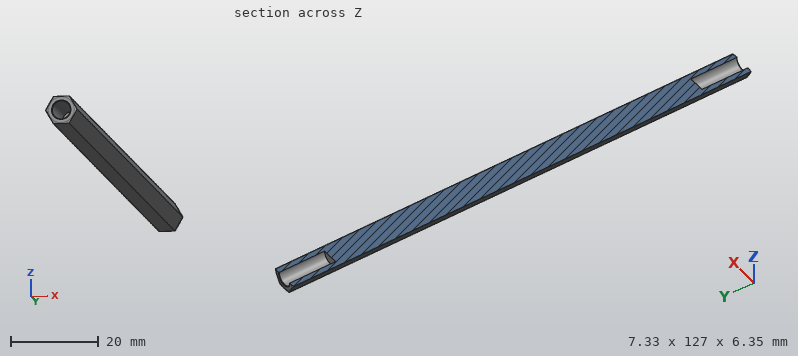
import cadquery as cq
import math

length = 127.0
across_flats = 6.35
across_corners = across_flats / math.cos(math.pi / 6)

end_face_diameter = 6.05
end_cone_angle = 10.0

hole_diameter = 4.2
mouth_diameter = 4.5
mouth_depth = (mouth_diameter - hole_diameter) / 2
hole_depth = 12.7


def revolve_about_y(profile):
    """Full revolution about Y of a closed (radius, y) outline."""
    outline = cq.Workplane("XY").polyline(profile).close()
    return outline.revolve(360, (0, 0, 0), (0, 1, 0))


def hexagonal_bar():
    """Hexagonal bar with flats on top and bottom and corners along X."""
    return cq.Workplane("XZ").polygon(6, across_corners).extrude(length / 2, both=True)


def turned_envelope():
    """Round body with a conical end, reaching outside the hexagon in between."""
    end = length / 2
    end_radius = end_face_diameter / 2
    envelope_radius = across_corners
    cone_height = (envelope_radius - end_radius) * math.tan(math.radians(end_cone_angle))
    shoulder = end - cone_height
    return revolve_about_y([
        (0, -end),
        (end_radius, -end),
        (envelope_radius, -shoulder),
        (envelope_radius, shoulder),
        (end_radius, end),
        (0, end),
    ])


def end_hole():
    """Space removed by the chamfered blind hole in the -Y end."""
    end = -length / 2
    return revolve_about_y([
        (0, end),
        (mouth_diameter / 2, end),
        (hole_diameter / 2, end + mouth_depth),
        (hole_diameter / 2, end + hole_depth),
        (0, end + hole_depth),
    ])


hole = end_hole()
result = hexagonal_bar().intersect(turned_envelope())
result = result.cut(hole).cut(hole.mirror("XZ"))